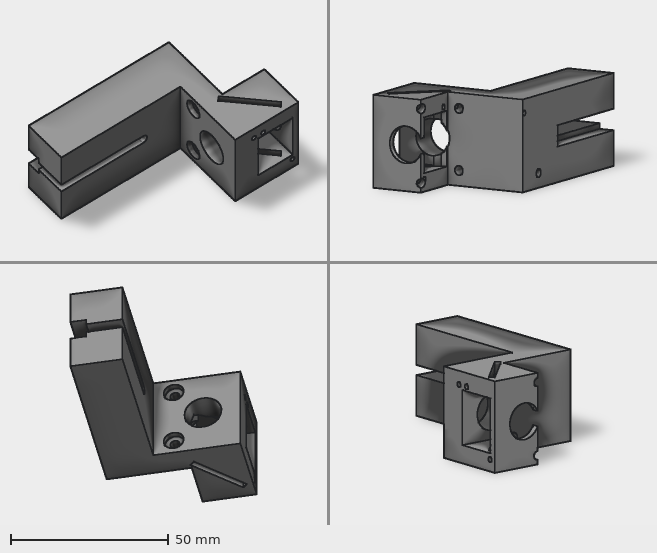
import cadquery as cq
import math

length_x = 45.2
length_y = 73.6
height = 30.0
arm_width = 16.9
arm_end_y = 56.7
block_left_x = 27.6
web_front_y = 48.05
mid_z = height / 2

slot_width = 3.3
slot_end_y = 34.6
recess_length = 34.9
recess_height = 6.9
recess_depth = 5.15

bore_diameter = 12.0
bore_x = 33.05
screw_x = 23.55
screw_spacing = 20.0
screw_diameter = 3.0
counterbore_diameter = 6.5
counterbore_depth = 2.0

window_front_y = 57.3
window_width = 14.0
window_height = 18.0

slit_length = 20.1
slit_width = 2.0
slit_x = 35.3
slit_y = 61.6
slit_angle = 45.0

pin_diameter = 1.7
pin_positions = [(59.4, 25.5), (55.6, 25.5), (71.15, 4.0)]
blind_diameter = 2.8
blind_depth = 3.7
blind_y = 46.7
blind_z = 4.8

corner_hole_diameter = 3.0
corner_hole_y = 72.9
corner_hole_depth = 7.35
corner_hole_spacing = 24.0


def cylinder(diameter, depth, start, direction):
    return cq.Workplane(
        cq.Solid.makeCylinder(diameter / 2, depth, cq.Vector(*start), cq.Vector(*direction))
    )


def make_body():
    outline = [
        (0, 0),
        (arm_width, 0),
        (arm_width, web_front_y),
        (length_x, web_front_y),
        (length_x, length_y),
        (block_left_x, length_y),
        (block_left_x, arm_end_y),
        (0, arm_end_y),
    ]
    return cq.Workplane("XY").polyline(outline).close().extrude(height)


def make_arm_slot():
    recess = cq.Workplane("XY").box(
        recess_depth, recess_length, recess_height, centered=(False, False, True)
    )
    round_center_y = slot_end_y - slot_width / 2
    slot = cq.Workplane("XY").box(
        arm_width, round_center_y, slot_width, centered=(False, False, True)
    )
    round_end = cylinder(slot_width, arm_width, (0, round_center_y, 0), (1, 0, 0))
    return recess.union(slot).union(round_end).translate((0, 0, mid_z))


def make_screw_hole(z):
    start = (screw_x, web_front_y, z)
    hole = cylinder(screw_diameter, length_y, start, (0, 1, 0))
    return hole.union(cylinder(counterbore_diameter, counterbore_depth, start, (0, 1, 0)))


def make_window():
    return (
        cq.Workplane("XY")
        .box(length_x - block_left_x, window_width, window_height, centered=(False, False, True))
        .translate((block_left_x, window_front_y, mid_z))
    )


def make_slit():
    return (
        cq.Workplane("XY")
        .center(slit_x, slit_y)
        .transformed(rotate=(0, 0, slit_angle))
        .rect(slit_length, slit_width)
        .extrude(height)
    )


def make_corner_hole(z):
    angle = math.radians(slit_angle)
    direction = (math.sin(angle), -math.cos(angle), 0)
    lead = corner_hole_diameter * 2
    start = (block_left_x - lead * direction[0], corner_hole_y - lead * direction[1], z)
    return cylinder(corner_hole_diameter, corner_hole_depth + lead, start, direction)


result = make_body().cut(make_arm_slot()).cut(make_window()).cut(make_slit())
result = result.cut(
    cylinder(bore_diameter, length_y - web_front_y, (bore_x, web_front_y, mid_z), (0, 1, 0))
)
for side in (-1, 1):
    result = result.cut(make_screw_hole(mid_z + side * screw_spacing / 2))
    result = result.cut(make_corner_hole(mid_z + side * corner_hole_spacing / 2))
for pin_y, pin_z in pin_positions:
    result = result.cut(cylinder(pin_diameter, length_x, (0, pin_y, pin_z), (1, 0, 0)))
result = result.cut(cylinder(blind_diameter, blind_depth, (0, blind_y, blind_z), (1, 0, 0)))